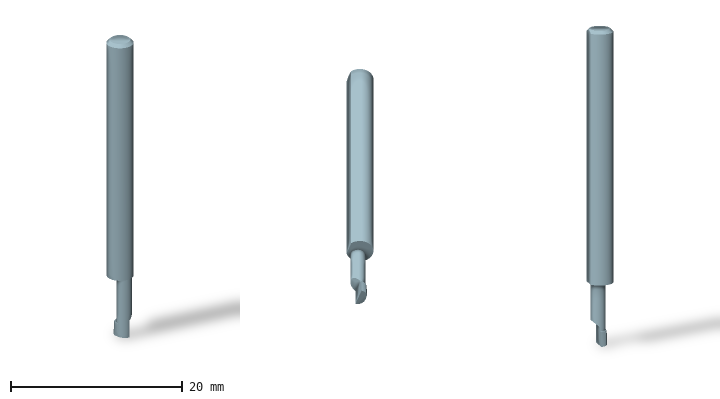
import cadquery as cq
import math

overall_length = 38.1
shank_diameter = 3.175
shank_length = 30.48
shank_chamfer = 0.38
flat_height = 1.335

neck_radius = 0.885
neck_offset = shank_diameter / 2 - neck_radius
neck_length = overall_length - shank_length

rake_start_height = 2.25
runout_height = 3.0

head_height = 1.8
edge_top_x = -0.56
edge_bottom_x = -0.68
nose_start_angle = math.radians(10)
nose_end_angle = math.radians(32)
nose_radius = 1.8
heel_width = 0.64
heel_depth = 0.87
relief_end_x = 0.73
relief_end_depth = 0.91

end_angle_x = math.radians(2)
end_angle_y = math.radians(5)

cut_size = 4 * shank_diameter


def make_shank():
    shank = (
        cq.Workplane("XY", origin=(0, 0, neck_length))
        .circle(shank_diameter / 2)
        .extrude(shank_length)
        .faces(">Z")
        .chamfer(shank_chamfer)
    )
    flat_cut = (
        cq.Workplane("XY", origin=(0, flat_height, neck_length))
        .rect(cut_size, cut_size)
        .extrude(shank_length)
        .translate((0, cut_size / 2, 0))
    )
    return shank.cut(flat_cut)


def make_neck():
    neck = cq.Workplane("XY").center(neck_offset, 0).circle(neck_radius).extrude(neck_length)
    rake_cut = (
        cq.Workplane("YZ")
        .polyline([(0, 0), (neck_radius, 0), (neck_radius, runout_height), (0, rake_start_height)])
        .close()
        .extrude(cut_size / 2, both=True)
    )
    return neck.cut(rake_cut)


def head_section(height, edge_x):
    """Closed section of the head: relief arc, flat to the heel, then the secondary relief."""
    center_x = edge_x + nose_radius * math.cos(nose_start_angle)
    center_y = nose_radius * math.sin(nose_start_angle)

    def arc_point(angle):
        return (center_x - nose_radius * math.cos(angle), center_y - nose_radius * math.sin(angle))

    return (
        cq.Workplane("XY", origin=(0, 0, height))
        .moveTo(edge_x, 0)
        .threePointArc(arc_point((nose_start_angle + nose_end_angle) / 2), arc_point(nose_end_angle))
        .lineTo(edge_x + heel_width, -heel_depth)
        .lineTo(relief_end_x, -relief_end_depth)
        .lineTo(relief_end_x, 0)
        .close()
        .wire()
        .val()
    )


def make_head():
    sections = [head_section(0, edge_bottom_x), head_section(head_height, edge_top_x)]
    return cq.Workplane(cq.Solid.makeLoft(sections, True))


def make_end_relief():
    normal = cq.Vector(math.tan(end_angle_x), -math.tan(end_angle_y), -1)
    plane = cq.Plane(origin=(edge_bottom_x, 0, 0), normal=normal)
    return cq.Workplane(plane).rect(cut_size, cut_size).extrude(shank_diameter)


result = make_shank().union(make_neck()).union(make_head()).cut(make_end_relief())